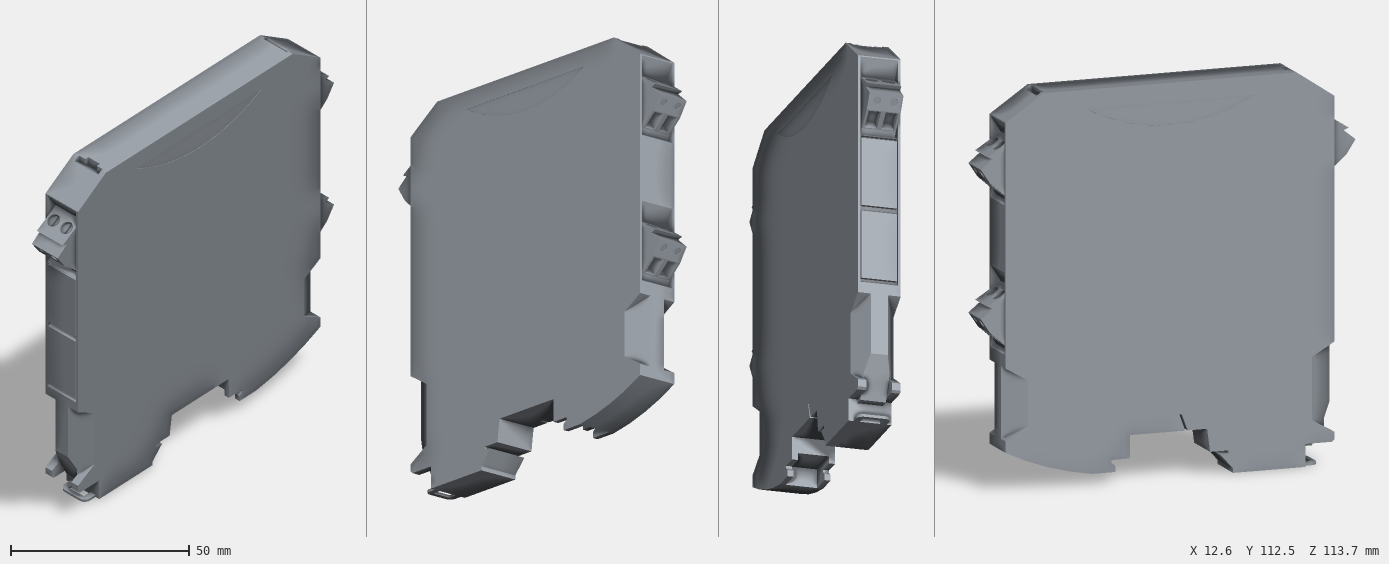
import cadquery as cq

FRONT = -1
BACK = 1

width = 12.6
half_width = width / 2
height = 113.7
overall_depth = 112.5
half_depth = 49.3
base_z = 6.6
past = 1.1

corner_y = 38.0
corner_z = 106.1
corner_slope = (height - corner_z) / (half_depth - corner_y)

rail_z = 13.3
rail_back_y = 12.0
rail_front_y = -11.1
rail_front_foot_y = -12.0
hook_z = 3.1
hook_y = 16.4
hook_tip_z = 4.9
hook_notch_y = 17.6
hook_notch_z = 5.8
belly_end_y = 23.3
belly_mid = (37.1, 6.1)
belly_start_z = 11.1
hook_slot_half_width = 4.5
hook_slot_top_z = 8.6

lid_half_width = 4.5
lid_end_y = 37.4
lid_thickness = 5.5
lens_half_length = 33.2
lens_depth = 12.2
skirt_inset = 0.1
pry_outer_y = 39.3
pry_slope = 0.65
pry_tab_half_width = 2.3
pry_tab_depth = 1.3

terminal_pitch = 21.5
pocket_half_width = 5.6
pocket_top_z = 105.7
pocket_bottom_z = 82.2
floor_slope = 0.62
roof_slope = 1 / floor_slope
pocket_v_depth = (pocket_top_z - pocket_bottom_z) / (roof_slope + floor_slope)
pocket_apex = (half_depth - pocket_v_depth, pocket_bottom_z + floor_slope * pocket_v_depth)

plug_half_width = 5.0
plug_face_z = 99.3
plug_lip_y = 54.2
plug_notch = (52.6, 95.6)
plug_tip = (overall_depth / 2, 92.8)
plug_knee = (53.4, 88.6)
plug_heel = (48.9, 84.6)
contact_offset = 2.5
screw_y = 50.0
screw_diameter = 3.9
screw_recess = 1.1
screw_slot_width = 0.7
screw_slot_depth = 0.6
probe_diameter = 2.2
probe_depth = 0.3
probe_share = 0.6
wire_width = 3.6
wire_height = 5.5
wire_depth = 3.4

plug_places = [(FRONT, 0), (BACK, 0), (BACK, 2)]

cover_top_z = pocket_bottom_z
cover_bottom_z = 38.5
cover_depth = 3.4
cover_recess = 1.0
pad_half_width = 5.2
pad_height = 20.0
pad_bottoms = (39.8, 61.5)

scallop_depth = 6.7
scallop_rib_half_width = 2.5
scallop_top_z = 35.4
scallop_slope = 0.58
scallop_bottoms = {FRONT: 9.4, BACK: 14.4}

fin_chamfer = 0.7
fin_slot_half_width = 3.8
block_top_z = 17.5
block_bottom_z = 5.5
block_slope = 2.1

slit_depth = 2.3
slit_bottom_y = (-5.3, -4.5)
slit_top_y = (-3.5, -2.8)
slit_top_z = 18.1

foot_front_y = -40.7
foot_back_y = -17.5
foot_lip_z = 5.7
foot_tip = (-15.1, 5.5)
foot_heel_y = -19.0
foot_heel_z = 1.3
foot_tab_y = -45.0
foot_tab_half_width = 4.9
foot_tab_thickness = 0.8
foot_tab_radius = 2.0
foot_eye_half_width = 3.0
foot_eye_length = 2.7


def prism(points, half_x, side=BACK):
    """Prism across X, centred, from (distance outward in Y, Z) points on one side."""
    outline = [(side * y, z) for y, z in points]
    return cq.Workplane("YZ").polyline(outline).close().extrude(half_x, both=True)


def block(x_range, y_range, z_range):
    """Box from its limits along X, Y and Z."""
    (x0, x1), (y0, y1), (z0, z1) = x_range, y_range, z_range
    return cq.Workplane("XY").box(x1 - x0, y1 - y0, z1 - z0, centered=False).translate((x0, y0, z0))


def lens(half_x):
    """Circular segment hanging from the top of the housing."""
    return (
        cq.Workplane("YZ")
        .moveTo(-lens_half_length, height)
        .threePointArc((0, height - lens_depth), (lens_half_length, height))
        .close()
        .extrude(half_x, both=True)
    )


def pry_notch(side, half_x, inner_y):
    """Notch at a lid end, whose floor falls toward the lid."""
    outer_z = height - corner_slope * (pry_outer_y - corner_y)
    inner_z = outer_z - pry_slope * (pry_outer_y - inner_y)
    top_z = height + past
    points = [(pry_outer_y, outer_z), (inner_y, inner_z), (inner_y, top_z), (pry_outer_y, top_z)]
    return prism(points, half_x, side)


def make_lid_space():
    """Everything the lid takes out of the housing."""
    under_z = height - lid_thickness
    full_y = (-half_depth, half_depth)
    arms = block((-lid_half_width, lid_half_width), (-lid_end_y, lid_end_y), (under_z, height))
    upper = lens(half_width).intersect(block((-half_width, half_width), full_y, (under_z, height)))
    space = arms.union(upper)
    for x_range in ((-half_width, -lid_half_width), (lid_half_width, half_width)):
        space = space.union(lens(half_width).intersect(block(x_range, full_y, (0, under_z))))
    tab_x = (-pry_tab_half_width, pry_tab_half_width)
    tab_y = (-lid_end_y, pry_tab_depth - lid_end_y)
    return space.cut(block(tab_x, tab_y, (under_z, height)))


def make_lid(space):
    under_z = height - lid_thickness
    lid = space
    skirt_x = half_width - skirt_inset
    for x_range in ((-half_width, -skirt_x), (skirt_x, half_width)):
        lid = lid.cut(block(x_range, (-half_depth, half_depth), (0, under_z)))
    return lid


def housing_outline():
    return (
        cq.Workplane("YZ")
        .moveTo(fin_chamfer - half_depth, base_z)
        .lineTo(-half_depth, base_z + fin_chamfer)
        .lineTo(-half_depth, corner_z)
        .lineTo(-corner_y, height)
        .lineTo(corner_y, height)
        .lineTo(half_depth, corner_z)
        .lineTo(half_depth, belly_start_z)
        .threePointArc(belly_mid, (belly_end_y, hook_z))
        .lineTo(hook_y, hook_z)
        .lineTo(hook_y, hook_tip_z)
        .lineTo(hook_notch_y, hook_notch_z)
        .lineTo(hook_notch_y, base_z)
        .lineTo(rail_back_y, base_z)
        .lineTo(rail_back_y, rail_z)
        .lineTo(rail_front_y, rail_z)
        .lineTo(rail_front_foot_y, base_z)
        .close()
    )


def plug_pocket(side, step):
    points = [(half_depth, pocket_top_z), pocket_apex, (half_depth, pocket_bottom_z)]
    return prism(points, pocket_half_width, side).translate((0, 0, -step * terminal_pitch))


def cover_pocket():
    """Flat pocket with a sloped sill along its lower edge."""
    base_y = half_depth - cover_recess
    sill_z = cover_bottom_z + floor_slope * cover_recess
    floor_y = half_depth - cover_depth
    points = [
        (half_depth, cover_bottom_z), (base_y, sill_z), (floor_y, sill_z),
        (floor_y, cover_top_z), (half_depth, cover_top_z),
    ]
    return prism(points, pocket_half_width, FRONT)


def scallops(side):
    """Angled cuts at both corners of one end, with a sloped roof and floor."""
    inner_y = half_depth - scallop_depth
    drop = scallop_slope * scallop_depth
    bottom_z = scallop_bottoms[side]
    heights = prism(
        [
            (half_depth, scallop_top_z), (inner_y, scallop_top_z - drop),
            (inner_y, bottom_z + drop), (half_depth, bottom_z),
        ],
        half_width, side,
    )
    right_corner = (
        cq.Workplane("XY")
        .moveTo(scallop_rib_half_width, side * half_depth)
        .lineTo(half_width, side * inner_y)
        .lineTo(half_width, side * half_depth)
        .close()
        .extrude(scallop_top_z)
    )
    cuts = right_corner.union(right_corner.mirror("YZ"))
    return cuts.intersect(heights)


def make_housing(lid_space):
    housing = housing_outline().extrude(half_width, both=True)

    for side in (FRONT, BACK):
        housing = housing.cut(scallops(side))

    block_bottom_y = half_depth - (block_top_z - block_bottom_z) / block_slope
    block_base_y = half_depth - (block_top_z - base_z) / block_slope
    slot = [(half_depth, block_top_z), (block_base_y, base_z), (half_depth, base_z)]
    toe = [
        (-foot_front_y, base_z), (-foot_front_y, block_bottom_z),
        (block_bottom_y, block_bottom_z), (block_base_y, base_z),
    ]
    housing = housing.cut(prism(slot, fin_slot_half_width, FRONT))
    housing = housing.union(prism(toe, fin_slot_half_width, FRONT))

    hook_slot_x = (-hook_slot_half_width, hook_slot_half_width)
    housing = housing.cut(block(hook_slot_x, (rail_back_y, belly_end_y), (0, hook_slot_top_z)))

    housing = housing.cut(lid_space)
    for side in (FRONT, BACK):
        housing = housing.cut(pry_notch(side, lid_half_width, lid_end_y))
    housing = housing.cut(pry_notch(FRONT, pry_tab_half_width, lid_end_y - pry_tab_depth))

    for side, step in plug_places:
        housing = housing.cut(plug_pocket(side, step))
    housing = housing.cut(cover_pocket())

    slit = [
        (slit_bottom_y[0], rail_z), (slit_bottom_y[1], rail_z),
        (slit_top_y[1], slit_top_z), (slit_top_y[0], slit_top_z),
    ]
    return housing.cut(prism(slit, slit_depth).translate((-half_width, 0, 0)))


def face_plane(x, y, z, normal_y, normal_z):
    """Workplane on a plug face that slopes in Y and Z only."""
    return cq.Workplane(cq.Plane(origin=(x, y, z), xDir=(1, 0, 0), normal=(0, normal_y, normal_z)))


def make_plug():
    """Plug for the top pocket at the back."""
    back_gap = (pocket_top_z - plug_face_z) / (roof_slope + floor_slope)
    back = (half_depth - back_gap, plug_face_z + floor_slope * back_gap)
    lip = (plug_lip_y, plug_face_z - floor_slope * (plug_lip_y - half_depth))
    heel_y, heel_z = plug_heel
    heel_above_floor = heel_z - pocket_bottom_z - floor_slope * (half_depth - heel_y)
    toe_y = heel_y - heel_above_floor / (roof_slope + floor_slope)
    toe = (toe_y, pocket_bottom_z + floor_slope * (half_depth - toe_y))
    outline = [back, lip, plug_notch, plug_tip, plug_knee, plug_heel, toe, pocket_apex]
    plug = prism(outline, plug_half_width)

    screw_z = plug_face_z - floor_slope * (screw_y - half_depth)
    probe_y = plug_knee[0] + probe_share * (plug_tip[0] - plug_knee[0])
    probe_z = plug_knee[1] + probe_share * (plug_tip[1] - plug_knee[1])
    wire_y = (plug_knee[0] + heel_y) / 2
    wire_z = (plug_knee[1] + heel_z) / 2
    probe_normal = (plug_tip[1] - plug_knee[1], plug_knee[0] - plug_tip[0])
    wire_normal = (plug_knee[1] - heel_z, heel_y - plug_knee[0])
    for x in (-contact_offset, contact_offset):
        screw = face_plane(x, screw_y, screw_z, floor_slope, 1)
        plug = plug.cut(screw.circle(screw_diameter / 2).extrude(-screw_recess))
        slot = screw.rect(screw_slot_width, screw_diameter).extrude(-screw_recess - screw_slot_depth)
        plug = plug.cut(slot)
        probe = face_plane(x, probe_y, probe_z, *probe_normal)
        plug = plug.cut(probe.circle(probe_diameter / 2).extrude(-probe_depth))
        wire = face_plane(x, wire_y, wire_z, *wire_normal)
        plug = plug.cut(wire.rect(wire_width, wire_height).extrude(-wire_depth))
    return plug


def place_plug(plug, side, step):
    turned = plug if side == BACK else plug.rotate((0, 0, 0), (0, 0, 1), 180)
    return turned.translate((0, 0, -step * terminal_pitch))


def make_cover():
    """Base plate with two raised pads that have bevelled tops."""
    base_y = half_depth - cover_recess
    floor_y = half_depth - cover_depth
    bevel = floor_slope * cover_recess
    sill_z = cover_bottom_z + bevel
    base = [(floor_y, sill_z), (base_y, sill_z), (base_y, cover_top_z), (floor_y, cover_top_z)]
    cover = prism(base, pocket_half_width, FRONT)
    for bottom_z in pad_bottoms:
        top_z = bottom_z + pad_height
        pad = [(base_y, bottom_z), (half_depth, bottom_z), (half_depth, top_z), (base_y, top_z + bevel)]
        cover = cover.union(prism(pad, pad_half_width, FRONT))
    return cover


def make_foot():
    outline = [
        (foot_back_y, base_z), (foot_back_y, foot_lip_z), foot_tip,
        (foot_heel_y, foot_heel_z), (foot_heel_y, 0), (foot_front_y, 0), (foot_front_y, base_z),
    ]
    foot = prism(outline, half_width)
    tab_x = (-foot_tab_half_width, foot_tab_half_width)
    tab = block(tab_x, (foot_tab_y, foot_front_y), (0, foot_tab_thickness))
    tab = tab.edges("|Z and <Y").fillet(foot_tab_radius)
    eye_x = (-foot_eye_half_width, foot_eye_half_width)
    eye = block(eye_x, (foot_front_y - foot_eye_length, foot_front_y), (0, foot_tab_thickness))
    return foot.union(tab.cut(eye))


lid_space = make_lid_space()
housing = make_housing(lid_space)
lid = make_lid(lid_space)
foot = make_foot()
cover = make_cover()
plug = make_plug()
plugs = [place_plug(plug, side, step) for side, step in plug_places]

result = cq.Compound.makeCompound(
    [housing.val(), lid.val(), foot.val(), cover.val(), *[p.val() for p in plugs]]
)